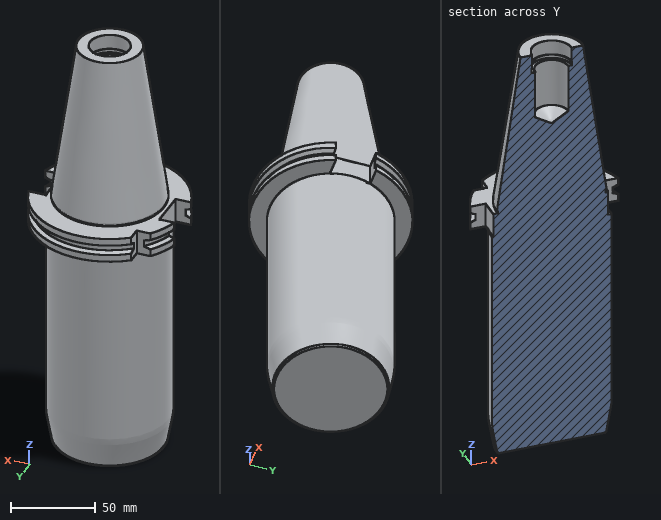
import cadquery as cq
import math

total_height = 271.5
taper_length = 102.5
gauge_height = total_height - taper_length
neck_height = 2.5
flange_thickness = 15.8
flange_top = gauge_height - neck_height
flange_bottom = flange_top - flange_thickness

gauge_radius = 69.8 / 2
taper_ratio = 7 / 24
taper_top_radius = gauge_radius - taper_length * taper_ratio / 2
gauge_land = 1.5
neck_radius = 34.2

flange_radius = 97.2 / 2
groove_depth = 3.3
groove_width = 6.5
groove_floor_width = 3.8
groove_center = 159.0

slot_width = 25.3
left_slot_floor = 37.2
right_slot_floor = 35.9
notch_x = 30.0
notch_y = 29.5

body_radius = 76.0 / 2
blend_top = 21.2
blend_bottom = 16.8
nose_radius = 69.5 / 2
nose_chamfer = 1.0
nose_angle = math.radians(11)
blend_height = blend_top - blend_bottom
blend_radius = blend_height / math.sin(nose_angle)
blend_end_radius = body_radius - blend_radius * (1 - math.cos(nose_angle))
blend_mid_radius = body_radius - blend_radius * (1 - math.cos(nose_angle / 2))
blend_mid_height = blend_top - blend_radius * math.sin(nose_angle / 2)

counterbore_radius = 25.0 / 2
counterbore_depth = 12.2
relief_radius = 25.5 / 2
relief_width = 2.5
bore_radius = 21.0 / 2
bore_depth = 43.5
drill_tip_angle = math.radians(118)
drill_tip_depth = bore_radius / math.tan(drill_tip_angle / 2)


def make_turned_body():
    groove_edge = groove_width / 2
    groove_floor_edge = groove_floor_width / 2
    groove_radius = flange_radius - groove_depth
    profile = (
        cq.Workplane("XZ")
        .moveTo(0, 0)
        .lineTo(nose_radius - nose_chamfer, 0)
        .lineTo(nose_radius, nose_chamfer)
        .lineTo(blend_end_radius, blend_bottom)
        .threePointArc((blend_mid_radius, blend_mid_height), (body_radius, blend_top))
        .lineTo(body_radius, flange_bottom)
        .lineTo(flange_radius, flange_bottom)
        .lineTo(flange_radius, groove_center - groove_edge)
        .lineTo(groove_radius, groove_center - groove_floor_edge)
        .lineTo(groove_radius, groove_center + groove_floor_edge)
        .lineTo(flange_radius, groove_center + groove_edge)
        .lineTo(flange_radius, flange_top)
        .lineTo(neck_radius, flange_top)
        .lineTo(neck_radius, gauge_height - gauge_land)
        .lineTo(gauge_radius, gauge_height - gauge_land)
        .lineTo(gauge_radius, gauge_height)
        .lineTo(taper_top_radius, total_height)
        .lineTo(0, total_height)
        .close()
    )
    return profile.revolve(360, (0, 0, 0), (0, 1, 0))


def make_bore():
    bore_floor = total_height - bore_depth
    step = total_height - counterbore_depth
    profile = (
        cq.Workplane("XZ")
        .moveTo(0, bore_floor - drill_tip_depth)
        .lineTo(bore_radius, bore_floor)
        .lineTo(bore_radius, step)
        .lineTo(relief_radius, step)
        .lineTo(relief_radius, step + relief_width)
        .lineTo(counterbore_radius, step + relief_width)
        .lineTo(counterbore_radius, total_height)
        .lineTo(0, total_height)
        .close()
    )
    return profile.revolve(360, (0, 0, 0), (0, 1, 0))


def make_flange_cutter(x_min, x_max, y_min, y_max):
    """Block as tall as the flange, for cutting straight through it."""
    return cq.Workplane("XY").box(
        x_max - x_min, y_max - y_min, flange_thickness, centered=False
    ).translate((x_min, y_min, flange_bottom))


half_slot = slot_width / 2
left_slot = make_flange_cutter(-flange_radius, -left_slot_floor, -half_slot, half_slot)
right_slot = make_flange_cutter(right_slot_floor, flange_radius, -half_slot, half_slot)
notch = make_flange_cutter(-flange_radius, -notch_x, notch_y, flange_radius)

result = make_turned_body().cut(make_bore())
for cutter in (left_slot, right_slot, notch):
    result = result.cut(cutter)